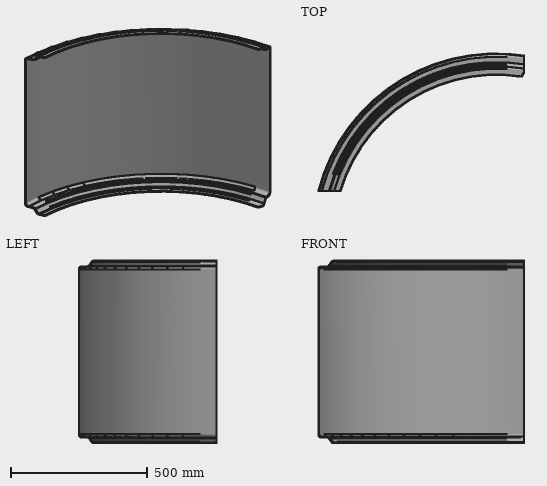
import cadquery as cq
import math

outer_radius = 675.0
total_height = 670.0
panel_depth = 505.62
panel_length = 755.78
thickness = 3.0

joggle_height = 21.0
joggle_angle = math.radians(55)
joggle_start = 35.4
flange_width = 78.0
wall_bend_inside_radius = 9.0
joggle_bend_inside_radius = 7.5
wall_bend_outside_radius = wall_bend_inside_radius + thickness
joggle_bend_outside_radius = joggle_bend_inside_radius + thickness

relief_length = 9.5
relief_depth = 15.5

front_cut_y = outer_radius - panel_depth
left_corner_x = -math.sqrt(outer_radius**2 - front_cut_y**2)
right_cut_x = left_corner_x + panel_length
tip_radius = outer_radius - flange_width


def flange_corners(inset):
    """Sharp (radius, z) corners of the upper half surface, inset from the outer skin."""
    shoulder_z = total_height / 2 - joggle_height - inset
    top_z = total_height / 2 - inset
    wall_radius = outer_radius - inset
    joggle_foot = outer_radius - joggle_start - inset * math.tan(joggle_angle / 2)
    joggle_head = joggle_foot - joggle_height / math.tan(joggle_angle)
    return [
        (wall_radius, shoulder_z),
        (joggle_foot, shoulder_z),
        (joggle_head, top_z),
        (tip_radius, top_z),
    ]


def bend(path, before, corner, after, radius):
    """Draw a line up to a corner, then a tangent arc round it."""
    p, c, n = cq.Vector(*before), cq.Vector(*corner), cq.Vector(*after)
    back = (p - c).normalized()
    ahead = (n - c).normalized()
    half_angle = back.getAngle(ahead) / 2
    tangent_length = radius / math.tan(half_angle)
    bisector = (back + ahead).normalized()
    middle = c + bisector * (radius / math.sin(half_angle) - radius)
    start = c + back * tangent_length
    end = c + ahead * tangent_length
    return path.lineTo(start.x, start.y).threePointArc((middle.x, middle.y), (end.x, end.y))


def draw_skin(path, corners, radii):
    """Draw one skin from flange tip to flange tip; the path is already at the first corner."""
    for before, corner, after, radius in zip(corners, corners[1:], corners[2:], radii):
        path = bend(path, before, corner, after, radius)
    return path.lineTo(*corners[-1])


def full_height(upper):
    """Corners of a whole skin, from the upper flange tip down to the lower one."""
    lower = [(radius, -z) for radius, z in upper]
    return upper[::-1] + lower


def make_ring():
    """Revolve the closed sheet section: outer skin downwards, inner skin back up."""
    outer_skin = full_height(flange_corners(0))
    inner_skin = full_height(flange_corners(thickness))[::-1]
    outer_radii = [joggle_bend_outside_radius, joggle_bend_inside_radius, wall_bend_outside_radius]
    inner_radii = [joggle_bend_inside_radius, joggle_bend_outside_radius, wall_bend_inside_radius]
    path = cq.Workplane("XZ").moveTo(*outer_skin[0])
    path = draw_skin(path, outer_skin, outer_radii + outer_radii[::-1])
    path = path.lineTo(*inner_skin[0])
    path = draw_skin(path, inner_skin, inner_radii + inner_radii[::-1])
    return path.close().revolve(360, (0, 0), (0, 1))


def make_plan_outline():
    """Prism that trims the ring to the panel's straight cuts and corner relief."""
    tip_x = right_cut_x - relief_length
    tip_y = math.sqrt(tip_radius**2 - tip_x**2)
    return (
        cq.Workplane("XY")
        .workplane(offset=-total_height)
        .moveTo(-outer_radius, front_cut_y)
        .lineTo(tip_x, front_cut_y)
        .lineTo(tip_x, tip_y)
        .lineTo(right_cut_x, tip_y + relief_depth)
        .lineTo(right_cut_x, outer_radius)
        .lineTo(-outer_radius, outer_radius)
        .close()
        .extrude(2 * total_height)
    )


result = make_ring().intersect(make_plan_outline())